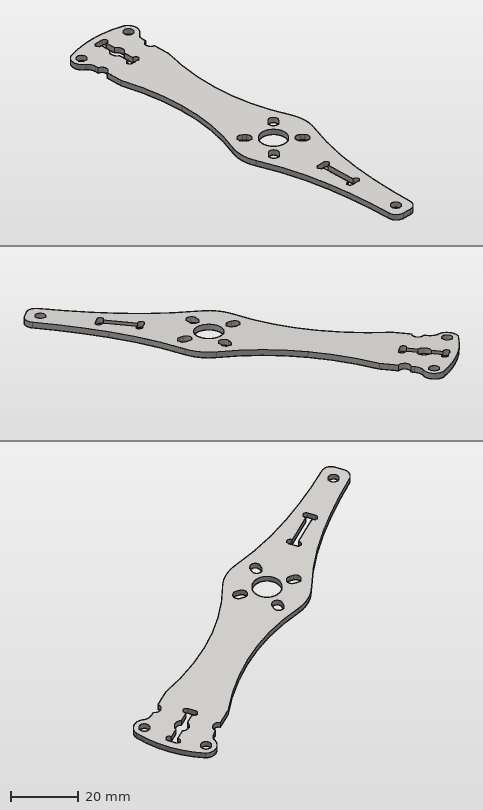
import cadquery as cq
import math

length = 130.8
thickness = 2.0

hub_radius = 13.2
hub_blend_x = 4.8
tail_end_x = 55.6
tail_half_width = 4.5
tail_corner_radius = 3.0
tail_curve_x = 29.0
tail_curve_y = 6.0
waist_x = -31.4
waist_half_width = 7.0
root_x = tail_end_x - length
root_half_width = 10.1
root_flat_end_x = -53.6

ear_x = -70.3
ear_radius = 3.5
ear_y = hub_radius - ear_radius
ear_hole_y = 10.0
ear_start_angle = 155.0
ear_end_angle = 28.0
ear_fillet_end_x = -64.4
notch_x = -61.4
notch_half_width = 1.8
notch_depth = 1.6

hub_hole_diameter = 9.0
screw_hole_diameter = 3.3
tail_hole_x = 51.0
motor_slot_width = 3.3
motor_slot_travel = 1.2
motor_slot_pitch_radius = 8.6

tie_slot_width = 2.0
tie_lobe_height = 4.6
root_slot_start_x = -72.8
root_slot_end_x = -57.7
root_slot_hole_diameter = 4.5
tail_slot_start_x = 19.8
tail_slot_end_x = 34.2


def ear_point(angle):
    """Point on the upper ear's rim at an angle in degrees from +X."""
    turn = math.radians(angle)
    return ear_x + ear_radius * math.cos(turn), ear_y + ear_radius * math.sin(turn)


def arc_depth(radius, half_chord):
    """Distance from the crown of an arc to its chord."""
    return radius - math.sqrt(radius**2 - half_chord**2)


def level_arc_mid(level_point, other_point):
    """Middle of the arc that leaves level_point parallel to X and reaches other_point."""
    run = other_point[0] - level_point[0]
    rise = other_point[1] - level_point[1]
    radius = (run**2 + rise**2) / (2 * rise)
    mid_x = level_point[0] + run / 2
    return mid_x, level_point[1] + math.copysign(arc_depth(abs(radius), run / 2), rise)


def half_plate():
    """The half of the plate on the +Y side, without holes."""
    hub_blend_y = math.sqrt(hub_radius**2 - hub_blend_x**2)
    hub_left = (-hub_blend_x, hub_blend_y)
    hub_right = (hub_blend_x, hub_blend_y)
    waist = (waist_x, waist_half_width)
    root_flat_end = (root_flat_end_x, root_half_width)
    ear_start = ear_point(ear_start_angle)
    ear_end = ear_point(ear_end_angle)
    ear_fillet_end = (ear_fillet_end_x, root_half_width)
    face_rise = ear_start[0] - root_x
    face_radius = (face_rise**2 + ear_start[1]**2) / (2 * face_rise)
    face_mid_y = ear_start[1] / 2
    face_mid = (root_x + arc_depth(face_radius, face_mid_y), face_mid_y)
    notch_bottom = (notch_x, root_half_width - notch_depth)
    notch_end = (notch_x + notch_half_width, root_half_width)
    corner_x = tail_end_x - tail_corner_radius
    corner_y = tail_half_width - tail_corner_radius
    corner_reach = tail_corner_radius * math.sqrt(0.5)
    return (
        cq.Workplane("XY")
        .moveTo(root_x, 0)
        .threePointArc(face_mid, ear_start)
        .threePointArc((ear_x, ear_y + ear_radius), ear_end)
        .threePointArc(level_arc_mid(ear_fillet_end, ear_end), ear_fillet_end)
        .lineTo(notch_x - notch_half_width, root_half_width)
        .threePointArc(notch_bottom, notch_end)
        .lineTo(*root_flat_end)
        .threePointArc(level_arc_mid(waist, root_flat_end), waist)
        .threePointArc(level_arc_mid(waist, hub_left), hub_left)
        .threePointArc((0, hub_radius), hub_right)
        .tangentArcPoint((tail_curve_x, tail_curve_y), relative=False)
        .tangentArcPoint((corner_x, tail_half_width), relative=False)
        .threePointArc((corner_x + corner_reach, corner_y + corner_reach), (tail_end_x, corner_y))
        .lineTo(tail_end_x, 0)
        .close()
        .extrude(thickness)
    )


def round_holes(points, diameter):
    return cq.Workplane("XY").pushPoints(points).circle(diameter / 2).extrude(thickness)


def motor_slots():
    """Four radial slots on the diagonals around the hub."""
    return (
        cq.Workplane("XY")
        .polarArray(motor_slot_pitch_radius, 45, 360, 4)
        .slot2D(motor_slot_width + motor_slot_travel, motor_slot_width)
        .extrude(thickness)
    )


def tie_slot(start_x, end_x):
    """Straight slot along X with a crosswise rounded lobe at each end."""
    lobe_xs = (start_x + tie_slot_width / 2, end_x - tie_slot_width / 2)
    bar = (
        cq.Workplane("XY")
        .center(sum(lobe_xs) / 2, 0)
        .rect(lobe_xs[1] - lobe_xs[0], tie_slot_width)
        .extrude(thickness)
    )
    lobes = (
        cq.Workplane("XY")
        .pushPoints([(x, 0) for x in lobe_xs])
        .slot2D(tie_lobe_height, tie_slot_width, 90)
        .extrude(thickness)
    )
    return bar.union(lobes)


upper_half = half_plate()
plate = upper_half.union(upper_half.mirror("XZ")).clean()

root_slot_mid_x = (root_slot_start_x + root_slot_end_x) / 2
screw_points = [(ear_x, ear_hole_y), (ear_x, -ear_hole_y), (tail_hole_x, 0)]

result = (
    plate
    .cut(round_holes([(0, 0)], hub_hole_diameter))
    .cut(round_holes(screw_points, screw_hole_diameter))
    .cut(motor_slots())
    .cut(tie_slot(root_slot_start_x, root_slot_end_x))
    .cut(round_holes([(root_slot_mid_x, 0)], root_slot_hole_diameter))
    .cut(tie_slot(tail_slot_start_x, tail_slot_end_x))
)